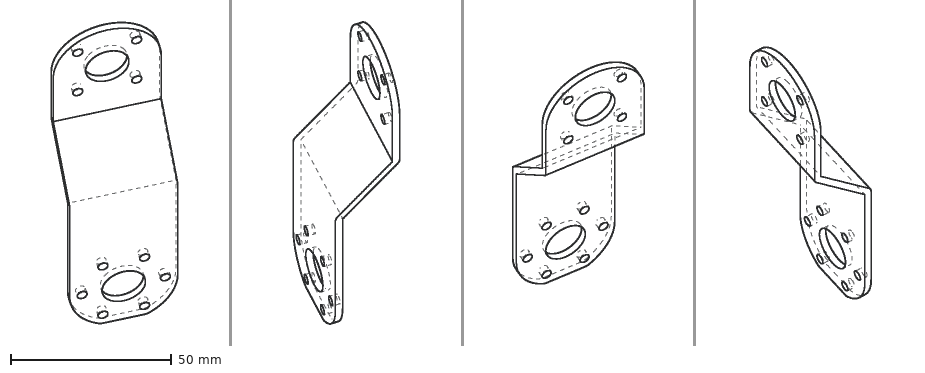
import cadquery as cq
import math

height = 118.0
width = 35.0
depth = 21.7
thickness = 2.5
bend_angle = 45.0
upper_bend_drop = 38.8
lower_center_z = 15.8
bore_diameter = 14.0
screw_diameter = 3.2
bolt_circle_diameter = 27.0
bottom_corner_radius = 3.5
upper_screw_count = 4
lower_screw_count = 6

end_radius = width / 2
upper_center_z = height - end_radius
angle = math.radians(bend_angle)

upper_corner_x = thickness
upper_corner_z = height - upper_bend_drop
lower_corner_x = depth - thickness
web_run = lower_corner_x - upper_corner_x
web_drop = web_run / math.tan(angle) + thickness / math.sin(angle)
lower_corner_z = upper_corner_z - web_drop


def around(x, z, degrees):
    """Point one sheet thickness from a bend's inner corner."""
    turn = math.radians(degrees)
    return (x + thickness * math.cos(turn), z + thickness * math.sin(turn))


def upper_outer(degrees):
    return around(upper_corner_x, upper_corner_z, 180 + degrees)


def lower_outer(degrees):
    return around(lower_corner_x, lower_corner_z, degrees)


def bent_sheet():
    """Z-shaped strip with sharp inner corners and rounded outer corners."""
    profile = (
        cq.Workplane("XZ")
        .moveTo(0, height)
        .lineTo(*upper_outer(0))
        .threePointArc(upper_outer(bend_angle / 2), upper_outer(bend_angle))
        .lineTo(lower_corner_x, lower_corner_z)
        .lineTo(lower_corner_x, 0)
        .lineTo(depth, 0)
        .lineTo(*lower_outer(0))
        .threePointArc(lower_outer(bend_angle / 2), lower_outer(bend_angle))
        .lineTo(upper_corner_x, upper_corner_z)
        .lineTo(upper_corner_x, height)
        .close()
    )
    return profile.extrude(width / 2, both=True)


def face_outline():
    """Rounded-end outline across the full depth; the sheet's bottom edge cuts it flat."""
    slot_length = upper_center_z - lower_center_z + width
    slot_center_z = (upper_center_z + lower_center_z) / 2
    return (
        cq.Workplane("YZ")
        .center(0, slot_center_z)
        .slot2D(slot_length, width, 90)
        .extrude(depth)
    )


def mounting_holes(center_z, screw_count, start_angle):
    """Cutter for a central bore and its ring of screw holes."""
    plane = cq.Workplane("YZ").center(0, center_z)
    bore = plane.circle(bore_diameter / 2).extrude(depth)
    screws = (
        plane.polarArray(bolt_circle_diameter / 2, start_angle, 360, screw_count)
        .circle(screw_diameter / 2)
        .extrude(depth)
    )
    return bore.union(screws)


result = (
    bent_sheet()
    .intersect(face_outline())
    .faces("<Z")
    .edges("|X")
    .fillet(bottom_corner_radius)
    .cut(mounting_holes(upper_center_z, upper_screw_count, 45))
    .cut(mounting_holes(lower_center_z, lower_screw_count, 0))
)